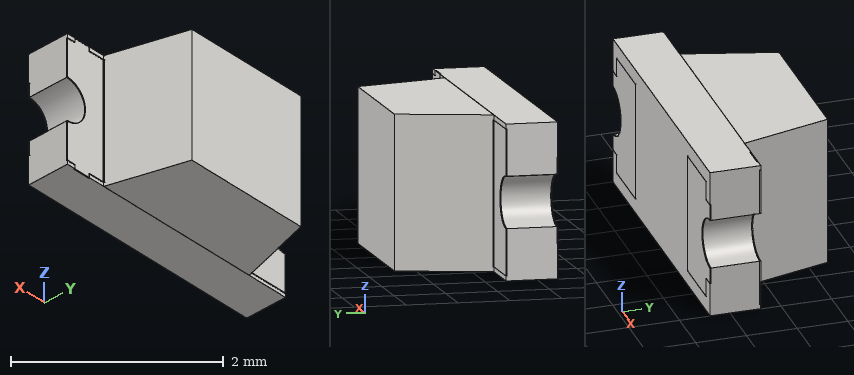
import cadquery as cq

LENGTH = 3.0
HEIGHT = 1.5
BOARD_THICKNESS = 0.5
NOTCH_RADIUS = 0.25

LENS_BASE = 2.0
LENS_TIP = 1.5
LENS_DEPTH = 0.9

PAD_THICKNESS = 0.0105

FRONT_PAD_HEIGHT = 1.2
FRONT_PAD_INNER_X = 0.8
FRONT_PAD_NECK_X = 1.38
FRONT_PAD_NECK_HEIGHT = 0.822

BACK_PAD_HEIGHT = 1.4

TAB_START_X = 1.195
TAB_WIDTH = 0.2

LAND_THICKNESS = 0.005
LAND_INNER_X = FRONT_PAD_INNER_X
LAND_HEIGHT = BACK_PAD_HEIGHT

END_X = LENGTH / 2
BACK_PAD_INNER_X = LENS_BASE / 2
BACK_PAD_FLOOR_Y = BOARD_THICKNESS - PAD_THICKNESS


def block(x_start, x_end, y_start, y_end, height):
    """Box between the given X and Y limits, centred on Z = 0."""
    return (
        cq.Workplane("XY")
        .box(x_end - x_start, y_end - y_start, height, centered=(False, False, True))
        .translate((x_start, y_start, 0))
    )


def cut_end_notches(body):
    """Cut the half-round notches of both board ends out of a body."""
    notches = (
        cq.Workplane("XZ")
        .pushPoints([(-END_X, 0), (END_X, 0)])
        .circle(NOTCH_RADIUS)
        .extrude(-BOARD_THICKNESS)
    )
    return body.cut(notches)


def mirror_left(body):
    """Copy a +X body to the -X end."""
    return body.mirror("YZ")


def make_front_pad():
    """Front pad at the +X end, with a narrower neck at the board end."""
    pad = block(FRONT_PAD_INNER_X, FRONT_PAD_NECK_X, 0, PAD_THICKNESS, FRONT_PAD_HEIGHT)
    neck = block(FRONT_PAD_NECK_X, END_X, 0, PAD_THICKNESS, FRONT_PAD_NECK_HEIGHT)
    return cut_end_notches(pad.union(neck))


def make_back_pad():
    """Plain back pad at the +X end."""
    pad = block(BACK_PAD_INNER_X, END_X, BACK_PAD_FLOOR_Y, BOARD_THICKNESS, BACK_PAD_HEIGHT)
    return cut_end_notches(pad)


def make_marked_back_pad():
    """Back pad at the +X end with the polarity tab across it."""
    tab = block(TAB_START_X, TAB_START_X + TAB_WIDTH, BACK_PAD_FLOOR_Y, BOARD_THICKNESS, HEIGHT)
    return cut_end_notches(make_back_pad().union(tab))


def recess(body, inlays):
    """Cut a matching recess into a body for every inlay."""
    for inlay in inlays:
        body = body.cut(inlay)
    return body


def make_board(pads):
    """Notched board with a recess for every pad."""
    board = cut_end_notches(block(-END_X, END_X, 0, BOARD_THICKNESS, HEIGHT))
    return recess(board, pads)


def lens_envelope():
    """Outer shape of the lens, with ends that taper away from the board."""
    return (
        cq.Workplane("XY")
        .workplane(offset=-HEIGHT / 2)
        .moveTo(-LENS_BASE / 2, BOARD_THICKNESS)
        .lineTo(LENS_BASE / 2, BOARD_THICKNESS)
        .lineTo(LENS_TIP / 2, BOARD_THICKNESS + LENS_DEPTH)
        .lineTo(-LENS_TIP / 2, BOARD_THICKNESS + LENS_DEPTH)
        .close()
        .extrude(HEIGHT)
    )


def make_land():
    """Land at the +X end of the lens foot, trimmed to the sloped lens end."""
    top_y = BOARD_THICKNESS + LAND_THICKNESS
    strip = block(LAND_INNER_X, LENS_BASE / 2, BOARD_THICKNESS, top_y, LAND_HEIGHT)
    return strip.intersect(lens_envelope())


def make_lens(lands):
    """Lens with a recess for every land."""
    return recess(lens_envelope(), lands)


front_pad = make_front_pad()
front_pads = [front_pad, mirror_left(front_pad)]
back_pads = [make_marked_back_pad(), mirror_left(make_back_pad())]
land = make_land()
lands = [land, mirror_left(land)]
board = make_board(front_pads + back_pads)
lens = make_lens(lands)

bodies = [board, lens] + front_pads + back_pads + lands
result = cq.Compound.makeCompound([body.solids().val() for body in bodies])